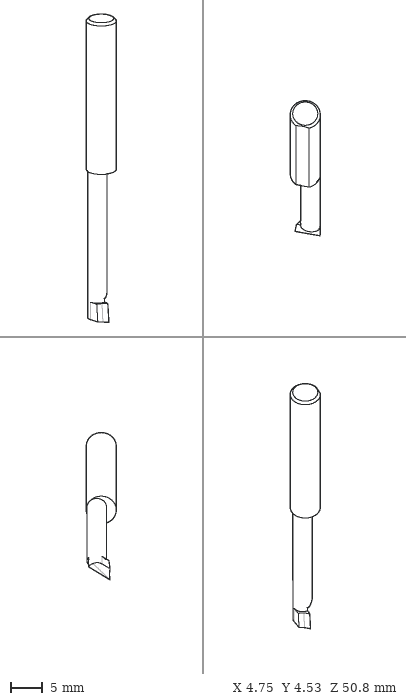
import cadquery as cq

total_length = 50.8
shank_diameter = 4.75
shank_bottom = 25.4
shank_chamfer = 0.4
flat_y = 2.15

neck_diameter = 3.1
neck_radius = neck_diameter / 2
neck_x = (neck_diameter - shank_diameter) / 2

bevel_top = 5.05
bevel_bottom = 3.8
bevel_inner_y = 0.25

head_top = 3.2
edge_bottom_x = 1.7
edge_top_x = 1.4
ridge_bottom_x = 1.05
ridge_top_x = 0.85
ridge_y = -0.75
heel_bottom_x = 0.7
heel_top_x = 0.45
head_corner_chamfer = 0.15

tip_rise_back = 0.25
tip_rise_side = 0.15

overcut = 0.5


def make_shank():
    """Round shank with a chamfered top and one flat along the +Y side."""
    shank = (
        cq.Workplane("XY", origin=(0, 0, shank_bottom))
        .circle(shank_diameter / 2)
        .extrude(total_length - shank_bottom)
        .faces(">Z")
        .chamfer(shank_chamfer)
    )
    flat_cutter = cq.Workplane("XY").box(
        2 * shank_diameter, shank_diameter, 2 * total_length, centered=(True, False, True)
    )
    return shank.cut(flat_cutter.translate((0, flat_y, 0)))


def make_neck():
    """Round neck that is cut back to its -Y half near the tip."""
    neck = cq.Workplane("XY").center(neck_x, 0).circle(neck_radius).extrude(shank_bottom)
    relief = (
        cq.Workplane("YZ")
        .moveTo(0, -overcut)
        .lineTo(0, bevel_bottom)
        .lineTo(bevel_inner_y, bevel_bottom)
        .lineTo(neck_radius, bevel_top)
        .lineTo(neck_radius + overcut, bevel_top)
        .lineTo(neck_radius + overcut, -overcut)
        .close()
        .extrude(shank_diameter, both=True)
    )
    return neck.cut(relief)


def head_section(workplane, heel_x, ridge_x, edge_x):
    """Head outline: flat heel, two flanks and the cutting face on y = 0."""
    return workplane.polyline([
        (neck_x, 0),
        (neck_x, -neck_radius),
        (heel_x, -neck_radius),
        (ridge_x, ridge_y),
        (edge_x, 0),
    ]).close()


def make_head():
    """Cutting head that widens toward the tip, with its upper outer corner cut off."""
    head = head_section(cq.Workplane("XY"), heel_bottom_x, ridge_bottom_x, edge_bottom_x)
    upper = head.workplane(offset=head_top)
    head = head_section(upper, heel_top_x, ridge_top_x, edge_top_x).loft(ruled=True)
    corner = (
        cq.Workplane("XZ")
        .moveTo(edge_top_x - head_corner_chamfer, head_top)
        .lineTo(edge_top_x + head_corner_chamfer, head_top)
        .lineTo(edge_top_x + head_corner_chamfer, head_top - 2 * head_corner_chamfer)
        .close()
        .extrude(neck_diameter, both=True)
    )
    return head.cut(corner)


def make_underside_cutters():
    """Wedges that leave the tip as the lowest point."""
    back = (
        cq.Workplane("YZ")
        .polyline([(0, 0), (-neck_diameter, 2 * tip_rise_back),
                   (-neck_diameter, -overcut), (0, -overcut)])
        .close()
        .extrude(shank_diameter, both=True)
    )
    side = (
        cq.Workplane("XZ")
        .polyline([(edge_bottom_x, 0), (-shank_diameter / 2, tip_rise_side),
                   (-shank_diameter / 2, -overcut), (edge_bottom_x, -overcut)])
        .close()
        .extrude(shank_diameter, both=True)
    )
    return back.union(side)


tool = make_shank().union(make_neck()).union(make_head())
result = tool.cut(make_underside_cutters())